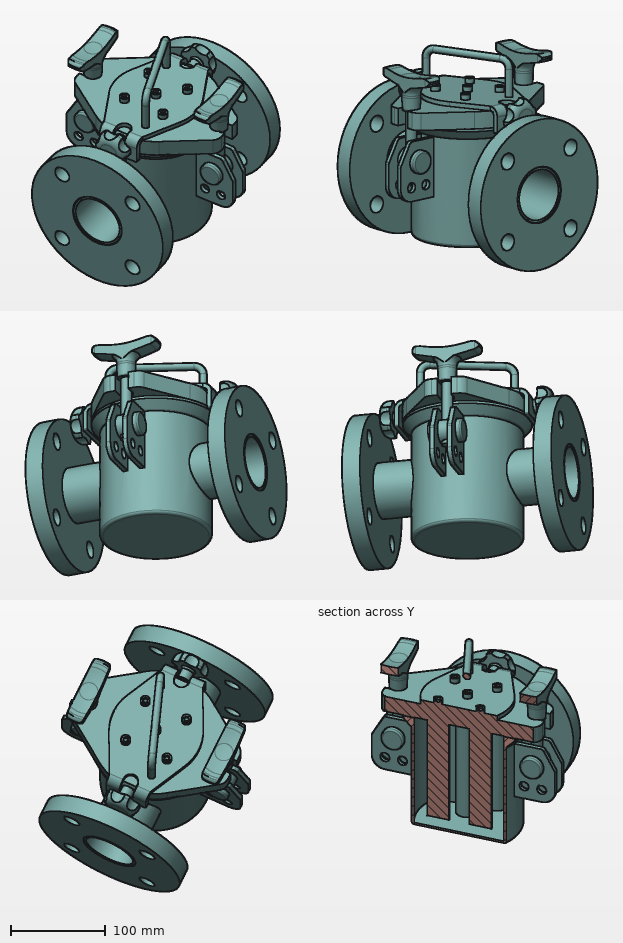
import cadquery as cq
import math


length = 230.0
width = 209.0
height = 218.3
flange_diameter = 164.7
flange_thickness = 19.8
flange_hole_diameter = 18.0
flange_hole_offset = 44.2
pipe_diameter = 60.0
pipe_bore = 55.0
bore_recess_depth = 0.7

vessel_diameter = 119.0
vessel_bottom = -65.0
vessel_wall = 3.0
vessel_bottom_fillet = 3.2
collar_diameter = 137.0
collar_cone_top = 64.5
collar_cone_bottom = 55.2
collar_lip_radius = 60.3
collar_lip_height = 1.4

cover_bottom = 67.5
cover_thickness = 18.9
cover_top = cover_bottom + cover_thickness
cover_round_radius = 68.8
cover_half_length = 91.0
cover_tangent_x = 39.5
cover_corner_radius = 11.5
clamp_slot_width = 15.2
clamp_seat_depth = 1.8
cover_flat_y = 67.5
cover_flat_chamfer = 3.2
cover_flat_chamfer_height = 4.5
strap_thickness = 5.0
strap_top = cover_top + strap_thickness
strap_round_radius = 50.0
strap_tangent_x = 44.8
strap_bend_radius = 10.0
strap_end = 74.0
strap_end_half_width = 23.2
strap_flap_bottom = 62.5
strap_flap_corner_radius = 1.4
strap_slot_width = 16.0
strap_slot_end = 54.5
screw_pitch = 24.2
screw_head_diameter = 10.0
screw_head_height = 5.8
screw_socket_size = 6.0
screw_socket_depth = 3.0
screw_socket_tip_diameter = 4.8
screw_socket_tip_depth = 1.4
magnet_rod_diameter = 25.3
magnet_rod_bottom = -50.5
handle_diameter = 8.0
handle_span = 100.0
handle_bend_radius = 10.0
handle_angle = 20.0

clamp_x = 79.1
pivot_z = 30.0
pivot_diameter = 25.3
pivot_length = 36.5
pivot_fillet = 1.8
clamp_rod_diameter = 12.0
clamp_rod_bottom = 14.5
clamp_foot_diameter = 19.0
lug_inner_x = 57.5
lug_thickness = 5.0
lug_gap = 14.3
lug_top = 53.1
lug_bottom = -12.2
lug_bevel_x = 90.6
lug_bevel_z = 28.0
lug_bevel_fillet = 4.5
lug_corner_radius = 15.2
lug_hole_diameter = 10.5
lug_hole_pitch = 20.0
grip_radius = 37.3
grip_half_width = 10.4
grip_tip_half_width = 9.2
grip_end_fillet = 5.0

knob_z = 79.1
knob_inner_y = 80.3
knob_outer_y = 93.4
knob_diameter = 40.0
knob_rim_fillet = 9.5
knob_notch_count = 6
knob_notch_diameter = 24.0
knob_notch_offset = 28.0
knob_stud_diameter = 14.0
knob_neck_diameter = 16.5
knob_neck_start = 77.5
front_notch_angle = 36.0
rear_notch_angle = 15.0

half_length = length / 2
lug_outer_x = width / 2
handle_top = height - flange_diameter / 2
clamp_sides = (-1, 1)
pipe_ends = (-1, 1)
clamp_foot_z = cover_top - clamp_seat_depth
strap_bend_start = strap_end - strap_bend_radius


def cylinder_z(diameter, bottom, top, x=0, y=0):
    return cq.Workplane("XY", (x, y, bottom)).circle(diameter / 2).extrude(top - bottom)


def cylinder_y(diameter, start, end, x=0, z=0):
    """Cylinder parallel to Y whose ends lie at y = start and y = end."""
    return cq.Workplane("XZ", (x, start, z)).circle(diameter / 2).extrude(start - end)


def circle_y(radius, x):
    """Height above the X axis of a circle about the origin."""
    return math.sqrt(radius**2 - x**2)


def vessel_outside():
    radius = vessel_diameter / 2
    collar_radius = collar_diameter / 2
    profile = (
        cq.Workplane("XZ")
        .moveTo(0, vessel_bottom)
        .lineTo(radius, vessel_bottom)
        .lineTo(radius, collar_cone_bottom - collar_lip_height)
        .lineTo(collar_lip_radius, collar_cone_bottom)
        .lineTo(collar_radius, collar_cone_top)
        .lineTo(collar_radius, cover_bottom)
        .lineTo(0, cover_bottom)
        .close()
    )
    return profile.revolve(360, (0, 0), (0, 1)).faces("<Z").edges().fillet(vessel_bottom_fillet)


def flange(end):
    outer_y = end * half_length
    disc = cylinder_y(flange_diameter, outer_y, outer_y - end * flange_thickness)
    holes = (
        cq.Workplane("XZ", (0, outer_y, 0))
        .rect(2 * flange_hole_offset, 2 * flange_hole_offset, forConstruction=True)
        .vertices()
        .circle(flange_hole_diameter / 2)
        .extrude(end * flange_thickness)
    )
    return disc.cut(holes)


def bore_recess(end):
    """Shallow conical recess around the bore at the flange face."""
    floor_radius = pipe_diameter / 2
    floor_y = half_length - bore_recess_depth
    profile = (
        cq.Workplane("XY")
        .moveTo(0, floor_y)
        .lineTo(floor_radius, floor_y)
        .lineTo(floor_radius + bore_recess_depth, half_length)
        .lineTo(0, half_length)
        .close()
    )
    recess = profile.revolve(360, (0, 0), (0, 1))
    return recess if end > 0 else recess.mirror("XZ")


def hinge_lugs(side):
    """Two parallel lug plates on one side, with the pivot hole and two small holes."""
    plate = (
        cq.Workplane("XZ", (0, lug_gap / 2 + lug_thickness, 0))
        .moveTo(lug_inner_x, lug_bottom)
        .lineTo(lug_outer_x, lug_bottom)
        .lineTo(lug_outer_x, lug_bevel_z)
        .lineTo(lug_bevel_x, lug_top)
        .lineTo(lug_inner_x, lug_top)
        .close()
        .extrude(lug_thickness)
    )
    rounded_corners = [
        (lug_outer_x, lug_bottom, lug_corner_radius),
        (lug_bevel_x, lug_top, lug_bevel_fillet),
        (lug_outer_x, lug_bevel_z, lug_bevel_fillet),
    ]
    for x, z, radius in rounded_corners:
        corner = (x, (lug_gap + lug_thickness) / 2, z)
        plate = plate.edges(cq.selectors.NearestToPointSelector(corner)).fillet(radius)
    hole_end = lug_gap / 2 + lug_thickness
    hole_x = lug_outer_x - lug_corner_radius
    hole_z = lug_bottom + lug_corner_radius
    plate = plate.cut(cylinder_y(pivot_diameter, 0, hole_end, clamp_x, pivot_z))
    for x in (hole_x, hole_x - lug_hole_pitch):
        plate = plate.cut(cylinder_y(lug_hole_diameter, 0, hole_end, x, hole_z))
    pair = plate.union(plate.mirror("XZ"))
    return pair if side > 0 else pair.mirror("YZ")


def make_housing():
    housing = vessel_outside()
    for end in pipe_ends:
        housing = housing.union(cylinder_y(pipe_diameter, 0, end * half_length)).union(flange(end))
    for side in clamp_sides:
        housing = housing.union(hinge_lugs(side))
    cavity = cylinder_z(vessel_diameter - 2 * vessel_wall, vessel_bottom + vessel_wall, cover_bottom)
    housing = housing.cut(cavity).cut(cylinder_y(pipe_bore, -half_length, half_length))
    for end in pipe_ends:
        housing = housing.cut(bore_recess(end))
    return housing


def cover_edge_waste(end):
    """Material beyond the chamfered flat that a star knob's stud stands against."""
    profile = (
        cq.Workplane("YZ", (-cover_tangent_x, 0, 0))
        .moveTo(cover_flat_y - cover_flat_chamfer, cover_top)
        .lineTo(cover_flat_y, cover_top - cover_flat_chamfer_height)
        .lineTo(cover_flat_y, cover_bottom)
        .lineTo(cover_round_radius, cover_bottom)
        .lineTo(cover_round_radius, cover_top)
        .close()
    )
    waste = profile.extrude(2 * cover_tangent_x)
    return waste if end > 0 else waste.mirror("XZ")


def cover_plate():
    """Round plate drawn out to a blunt end on both sides, slotted for the clamp rods."""
    tangent_y = circle_y(cover_round_radius, cover_tangent_x)
    cover_slope = cover_tangent_x / tangent_y
    end_y = tangent_y - (cover_half_length - cover_tangent_x) * cover_slope
    plate = (
        cq.Workplane("XY", (0, 0, cover_bottom))
        .moveTo(cover_tangent_x, tangent_y)
        .lineTo(cover_half_length, end_y)
        .lineTo(cover_half_length, -end_y)
        .lineTo(cover_tangent_x, -tangent_y)
        .threePointArc((0, -cover_round_radius), (-cover_tangent_x, -tangent_y))
        .lineTo(-cover_half_length, -end_y)
        .lineTo(-cover_half_length, end_y)
        .lineTo(-cover_tangent_x, tangent_y)
        .threePointArc((0, cover_round_radius), (cover_tangent_x, tangent_y))
        .close()
        .extrude(cover_thickness)
    )
    plate = plate.edges("|Z and (<X or >X)").fillet(cover_corner_radius)
    slot_reach = 2 * (cover_half_length - clamp_x) + clamp_slot_width
    for side in clamp_sides:
        slot = (
            cq.Workplane("XY", (side * cover_half_length, 0, cover_bottom))
            .slot2D(slot_reach, clamp_slot_width)
            .extrude(cover_thickness)
        )
        seat = cylinder_z(clamp_foot_diameter, clamp_foot_z, cover_top, side * clamp_x)
        plate = plate.cut(slot).cut(seat)
    for end in pipe_ends:
        plate = plate.cut(cover_edge_waste(end))
    return plate


def strap():
    """Strap across the cover whose ends bend down over the cover's edge."""
    bent_sheet = (
        cq.Workplane("YZ", (-strap_round_radius, 0, 0))
        .moveTo(-strap_end, strap_flap_bottom)
        .lineTo(-strap_end, strap_top)
        .lineTo(strap_end, strap_top)
        .lineTo(strap_end, strap_flap_bottom)
        .lineTo(strap_end - strap_thickness, strap_flap_bottom)
        .lineTo(strap_end - strap_thickness, cover_top)
        .lineTo(strap_thickness - strap_end, cover_top)
        .lineTo(strap_thickness - strap_end, strap_flap_bottom)
        .close()
        .extrude(2 * strap_round_radius)
    )
    bent_sheet = bent_sheet.edges("|X and >Z").fillet(strap_bend_radius)
    inner_radius = strap_bend_radius - strap_thickness
    for end in pipe_ends:
        inner_corner = (0, end * (strap_end - strap_thickness), cover_top)
        bent_sheet = bent_sheet.edges(cq.selectors.NearestToPointSelector(inner_corner)).fillet(inner_radius)

    tangent_y = circle_y(strap_round_radius, strap_tangent_x)
    bend_half_width = strap_tangent_x - (strap_bend_start - tangent_y) * tangent_y / strap_tangent_x
    outline = (
        cq.Workplane("XY", (0, 0, strap_flap_bottom))
        .moveTo(strap_tangent_x, -tangent_y)
        .threePointArc((strap_round_radius, 0), (strap_tangent_x, tangent_y))
        .lineTo(bend_half_width, strap_bend_start)
        .lineTo(strap_end_half_width, strap_end)
        .lineTo(-strap_end_half_width, strap_end)
        .lineTo(-bend_half_width, strap_bend_start)
        .lineTo(-strap_tangent_x, tangent_y)
        .threePointArc((-strap_round_radius, 0), (-strap_tangent_x, -tangent_y))
        .lineTo(-bend_half_width, -strap_bend_start)
        .lineTo(-strap_end_half_width, -strap_end)
        .lineTo(strap_end_half_width, -strap_end)
        .lineTo(bend_half_width, -strap_bend_start)
        .close()
        .extrude(strap_top - strap_flap_bottom)
    )
    sheet = bent_sheet.intersect(outline)
    for x_sign in (-1, 1):
        for end in pipe_ends:
            flap_corner = (
                x_sign * strap_end_half_width,
                end * (strap_end - strap_thickness / 2),
                strap_flap_bottom,
            )
            sheet_corner = cq.selectors.NearestToPointSelector(flap_corner)
            sheet = sheet.edges(sheet_corner).fillet(strap_flap_corner_radius)
    return sheet


def strap_slot(end):
    """Slot with round ends that runs over the bend and down to the star-knob stud."""
    slot_radius = strap_slot_width / 2
    flat_end_y = strap_slot_end + slot_radius
    flat_length = strap_end - flat_end_y
    flat_run = (
        cq.Workplane("XY", (0, flat_end_y + flat_length / 2, cover_top))
        .rect(strap_slot_width, flat_length)
        .extrude(strap_thickness)
    )
    flat_slot = cylinder_z(strap_slot_width, cover_top, strap_top, 0, flat_end_y).union(flat_run)
    flap_run = (
        cq.Workplane("XY", (0, (strap_bend_start + strap_end) / 2, knob_z))
        .rect(strap_slot_width, strap_end - strap_bend_start)
        .extrude(strap_top - knob_z)
    )
    flap_slot = cylinder_y(strap_slot_width, strap_bend_start, strap_end, 0, knob_z).union(flap_run)
    slot = flat_slot.union(flap_slot)
    return slot if end > 0 else slot.mirror("XZ")


def screw_and_magnet_rod(x, y):
    """Hexagon-socket screw head on the strap, in line with a magnet rod below the cover."""
    head_top = strap_top + screw_head_height
    head = cylinder_z(screw_head_diameter, strap_top, head_top, x, y)
    socket = (
        cq.Workplane("XY", (x, y, head_top))
        .polygon(6, screw_socket_size)
        .extrude(-screw_socket_depth)
    )
    socket_tip = cq.Workplane(
        cq.Solid.makeCone(
            screw_socket_tip_diameter / 2,
            0,
            screw_socket_tip_depth,
            pnt=cq.Vector(x, y, head_top - screw_socket_depth),
            dir=cq.Vector(0, 0, -1),
        )
    )
    rod = cylinder_z(magnet_rod_diameter, magnet_rod_bottom, cover_bottom, x, y)
    return head.cut(socket).cut(socket_tip), rod


def handle():
    """Bent round bar whose two feet stand on the strap, turned about Z."""
    half_span = handle_span / 2
    bar_z = handle_top - handle_diameter / 2
    bend_z = bar_z - handle_bend_radius
    bend_y = half_span - handle_bend_radius
    bend_mid = handle_bend_radius * math.sqrt(0.5)
    path = (
        cq.Workplane("YZ")
        .moveTo(-half_span, strap_top)
        .lineTo(-half_span, bend_z)
        .threePointArc((-bend_y - bend_mid, bend_z + bend_mid), (-bend_y, bar_z))
        .lineTo(bend_y, bar_z)
        .threePointArc((bend_y + bend_mid, bend_z + bend_mid), (half_span, bend_z))
        .lineTo(half_span, strap_top)
    )
    bar = cq.Workplane("XY", (0, -half_span, strap_top)).circle(handle_diameter / 2).sweep(path)
    return bar.rotate((0, 0, 0), (0, 0, 1), handle_angle)


def make_lid():
    slotted_strap = strap()
    for end in pipe_ends:
        slotted_strap = slotted_strap.cut(strap_slot(end))
    lid = cover_plate().union(slotted_strap)
    corners = [(x * screw_pitch, y * screw_pitch) for x in (-1, 1) for y in (-1, 1)]
    for x, y in [(0, 0)] + corners:
        head, rod = screw_and_magnet_rod(x, y)
        lid = lid.union(head).union(rod)
    return lid.union(handle())


def clamp_grip():
    """Wing grip: a flared turned shape cut to a slab with bowed sides."""
    collar_radius = 10.1
    collar_bottom_z = 99.4
    collar_top_z = 101.7
    flare_radius = 14.7
    flare_z = 111.3
    flare_mid = (11.3, 107.2)
    underside_end = (32.0, 116.0)
    lower_round_mid = (35.6, 117.5)
    tip_bottom_z = 120.0
    tip_top_z = 122.1
    upper_round_mid = (35.5, 124.7)
    wing_top = (31.0, 125.5)
    wing_top_mid = (28.8, 125.4)
    dish_edge = (26.5, 125.0)
    dish_mid = (18.5, 123.0)
    dish_center_edge = (9.7, 121.7)
    dish_center_z = 121.2
    turned = (
        cq.Workplane("XZ")
        .moveTo(0, clamp_foot_z)
        .lineTo(clamp_foot_diameter / 2, clamp_foot_z)
        .lineTo(clamp_foot_diameter / 2, cover_top)
        .lineTo(collar_radius, collar_bottom_z)
        .lineTo(collar_radius, collar_top_z)
        .threePointArc(flare_mid, (flare_radius, flare_z))
        .lineTo(*underside_end)
        .threePointArc(lower_round_mid, (grip_radius, tip_bottom_z))
        .lineTo(grip_radius, tip_top_z)
        .threePointArc(upper_round_mid, wing_top)
        .threePointArc(wing_top_mid, dish_edge)
        .threePointArc(dish_mid, dish_center_edge)
        .lineTo(0, dish_center_z)
        .close()
        .revolve(360, (0, 0), (0, 1))
    )
    slab = (
        cq.Workplane("XY", (0, 0, clamp_foot_z))
        .moveTo(grip_tip_half_width, -grip_radius)
        .threePointArc((grip_half_width, 0), (grip_tip_half_width, grip_radius))
        .lineTo(-grip_tip_half_width, grip_radius)
        .threePointArc((-grip_half_width, 0), (-grip_tip_half_width, -grip_radius))
        .close()
        .extrude(wing_top[1] - clamp_foot_z)
        .edges("|Z")
        .fillet(grip_end_fillet)
    )
    return turned.intersect(slab)


def make_clamp(side):
    """Grip, rod and pivot barrel of one swing clamp."""
    half_pivot = pivot_length / 2
    barrel = cylinder_y(pivot_diameter, -half_pivot, half_pivot, 0, pivot_z).edges().fillet(pivot_fillet)
    rod = cylinder_z(clamp_rod_diameter, clamp_rod_bottom, clamp_foot_z)
    return barrel.union(rod).union(clamp_grip()).translate((side * clamp_x, 0, 0))


def knob_stud(end):
    """Stud of a star knob, from the flat on the cover's edge to the knob."""
    return cylinder_y(knob_stud_diameter, end * cover_flat_y, end * knob_inner_y, 0, knob_z)


def make_star_knob(end, first_notch_angle):
    inner_y = end * knob_inner_y
    outer_y = end * knob_outer_y
    head = cylinder_y(knob_diameter, inner_y, outer_y, 0, knob_z)
    head = head.faces(">Y" if end > 0 else "<Y").edges().fillet(knob_rim_fillet)
    for index in range(knob_notch_count):
        angle = math.radians(first_notch_angle + index * 360 / knob_notch_count)
        notch_x = knob_notch_offset * math.cos(angle)
        notch_z = knob_z + knob_notch_offset * math.sin(angle)
        head = head.cut(cylinder_y(knob_notch_diameter, inner_y, outer_y, notch_x, notch_z))
    neck = cq.Workplane(
        cq.Solid.makeCone(
            knob_stud_diameter / 2,
            knob_neck_diameter / 2,
            knob_inner_y - knob_neck_start,
            pnt=cq.Vector(0, end * knob_neck_start, knob_z),
            dir=cq.Vector(0, end, 0),
        )
    )
    return head.union(neck).union(knob_stud(end))


housing = make_housing()
lid = make_lid()
clamps = [make_clamp(side) for side in clamp_sides]
star_knobs = [make_star_knob(-1, front_notch_angle), make_star_knob(1, rear_notch_angle)]

bodies = [housing, lid, *clamps, *star_knobs]
result = cq.Compound.makeCompound([body.solids().val() for body in bodies])